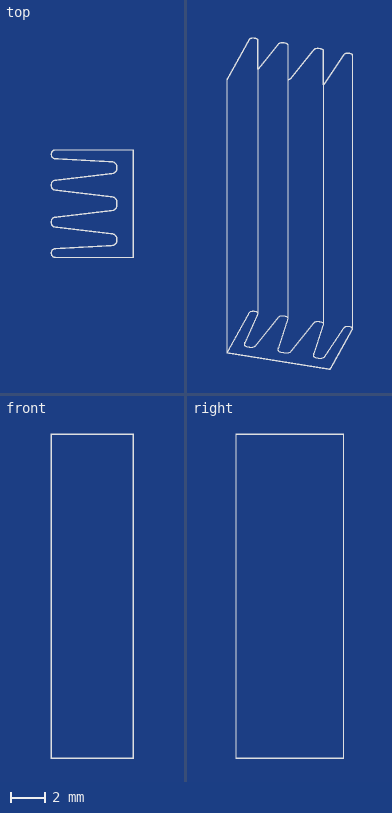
import cadquery as cq

depth = 4.8
width = 6.3
length = 19.0

base_thickness = 0.97
inner_fin_offset = 1.08
inner_fin_tip_half = 0.27
inner_fin_root_half = 0.72
outer_fin_tip = 0.51
outer_fin_root = 0.72
tip_radius = 0.25
root_radius = 0.28

tip_x = -depth / 2
back_x = depth / 2
root_x = back_x - base_thickness
side_y = width / 2


def groove(tip_low, tip_high, root_low, root_high):
    """Tapered groove between two fins, with rounded corners at its floor."""
    outline = [(tip_x, tip_low), (root_x, root_low), (root_x, root_high), (tip_x, tip_high)]
    return (
        cq.Workplane("XY")
        .polyline(outline)
        .close()
        .extrude(length)
        .edges("|Z and >X")
        .fillet(root_radius)
    )


body = cq.Workplane("XY").box(depth, width, length, centered=(True, True, False))

middle_tip = inner_fin_offset - inner_fin_tip_half
middle_root = inner_fin_offset - inner_fin_root_half
body = body.cut(groove(-middle_tip, middle_tip, -middle_root, middle_root))

side_groove = groove(
    inner_fin_offset + inner_fin_tip_half,
    side_y - outer_fin_tip,
    inner_fin_offset + inner_fin_root_half,
    side_y - outer_fin_root,
)
body = body.cut(side_groove).cut(side_groove.mirror("XZ"))

result = body.edges("|Z and <X").fillet(tip_radius)